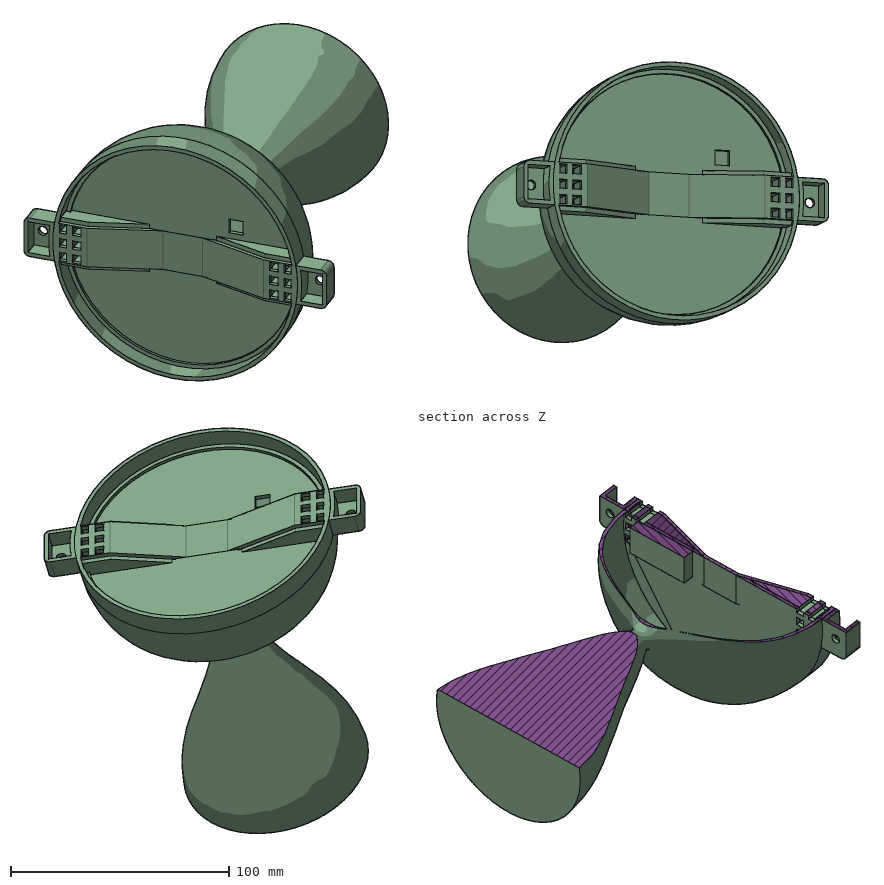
import cadquery as cq

RING_RADIUS = 60.0
RING_WALL = 2.0
RING_DEPTH = 10.0
RING_INNER_RADIUS = RING_RADIUS - RING_WALL
LIP_RADIUS = 56.0
LIP_THICKNESS = 1.5

DISC_THICKNESS = 2.0
DISC_FACE_Y = RING_DEPTH
DISC_BACK_Y = DISC_FACE_Y + DISC_THICKNESS
WINDOW_SIZE = 7.0
WINDOW_X = 26.0
WINDOW_Z = 18.7

STRAP_HALF_WIDTH = 10.0
STRAP_THICKNESS = 2.0
STRAP_BEND_X = 43.2
STRAP_MIDDLE_X = 9.7
STRAP_SLOPE = DISC_FACE_Y / (STRAP_BEND_X - STRAP_MIDDLE_X)

BRACKET_HALF_WIDTH = 12.2
BRACKET_TIP_X = STRAP_BEND_X - (DISC_FACE_Y - STRAP_THICKNESS) / STRAP_SLOPE

VENT_SIZE = 4.2
VENT_PITCH = 7.15
VENT_INNER_X = 48.3
VENT_OUTER_END_X = 56.8
VENT_OUTER_START_X = VENT_INNER_X + VENT_PITCH - VENT_SIZE / 2

LUG_END_X = 74.16
LUG_HALF_HEIGHT = STRAP_HALF_WIDTH
LUG_WALL = 2.0
LUG_FLOOR = 2.0
LUG_CORNER_RADIUS = 3.0
LUG_HOLE_X = 67.9
LUG_HOLE_DIAMETER = 4.5

TOTAL_LENGTH = 161.53
DOME_WALL = 2.0
NECK_RADIUS = 5.8
NECK_Y = 67.5
CUP_RADIUS = 43.3
DOME_CURVE = [(59.7, 16.0), (58.2, 24.0), (53.4, 35.0), (41.8, 46.4), (24.2, 56.0), (10.1, 63.1)]
CUP_CURVE = [(8.5, 75.5), (20.4, 101.2), (34.3, 129.8), (40.8, 146.4)]

BLOCK_START_X = BRACKET_TIP_X
BLOCK_END_X = 49.1
BLOCK_HALF_HEIGHT = 8.1
BLOCK_DEPTH = 6.0


def box(x_min, x_max, y_min, y_max, z_min, z_max):
    size = (x_max - x_min, y_max - y_min, z_max - z_min)
    return cq.Workplane("XY").box(*size, centered=False).translate((x_min, y_min, z_min))


def cylinder(radius, y_min, y_max):
    return cq.Workplane("XZ", origin=(0, y_min, 0)).circle(radius).extrude(y_min - y_max)


def mirror_x(body):
    return body.mirror("YZ")


def make_vents():
    """Cutter for the vent holes at both ends, through the strap, brackets and disc."""
    columns = [
        (VENT_INNER_X - VENT_SIZE / 2, VENT_INNER_X + VENT_SIZE / 2),
        (VENT_OUTER_START_X, VENT_OUTER_END_X),
    ]
    vents = cq.Workplane("XY")
    for x_min, x_max in columns:
        for row in (-1, 0, 1):
            z_min = row * VENT_PITCH - VENT_SIZE / 2
            vents = vents.add(box(x_min, x_max, 0, DISC_BACK_Y, z_min, z_min + VENT_SIZE))
    vents = vents.combine()
    return vents.union(mirror_x(vents))


def make_strap():
    """Bent band of constant thickness along Y, with its ends trimmed to the round of the ring."""
    front = [
        (-RING_RADIUS, 0),
        (-STRAP_BEND_X, 0),
        (-STRAP_MIDDLE_X, DISC_FACE_Y),
        (STRAP_MIDDLE_X, DISC_FACE_Y),
        (STRAP_BEND_X, 0),
        (RING_RADIUS, 0),
    ]
    back = [(x, y + STRAP_THICKNESS) for x, y in reversed(front)]
    strap = cq.Workplane("XY").polyline(front + back).close().extrude(STRAP_HALF_WIDTH, both=True)
    return strap.intersect(cylinder(RING_RADIUS, 0, DISC_BACK_Y))


def make_ring(strap, vents):
    ring = cylinder(RING_RADIUS, 0, RING_DEPTH)
    ring = ring.cut(cylinder(RING_INNER_RADIUS, 0, RING_DEPTH - LIP_THICKNESS))
    ring = ring.cut(cylinder(LIP_RADIUS, 0, RING_DEPTH))
    return ring.union(strap).cut(vents)


def make_disc(strap, vents):
    disc = cylinder(RING_INNER_RADIUS, DISC_FACE_Y, DISC_BACK_Y)
    half = WINDOW_SIZE / 2
    window = box(-half, half, DISC_FACE_Y, DISC_BACK_Y, -half, half)
    window = window.translate((WINDOW_X, 0, WINDOW_Z))
    return disc.cut(window).cut(strap).cut(vents)


def make_bracket(ring, vents):
    """Wedge on the +X side, reaching from the back of the strap to the disc and wider than the strap."""
    side = [
        (BRACKET_TIP_X, DISC_FACE_Y),
        (STRAP_BEND_X, STRAP_THICKNESS),
        (RING_RADIUS, STRAP_THICKNESS),
        (RING_RADIUS, DISC_FACE_Y),
    ]
    wedge = cq.Workplane("XY").polyline(side).close().extrude(BRACKET_HALF_WIDTH, both=True)
    wedge = wedge.intersect(cylinder(RING_INNER_RADIUS, 0, DISC_FACE_Y))
    return wedge.cut(ring).cut(vents)


def make_lug():
    """Box on the +X side, open to the front, with its inner wall curved along the ring."""
    lug = box(0, LUG_END_X, 0, RING_DEPTH, -LUG_HALF_HEIGHT, LUG_HALF_HEIGHT)
    lug = lug.edges("|Y and >X").fillet(LUG_CORNER_RADIUS)
    lug = lug.cut(cylinder(RING_RADIUS, 0, RING_DEPTH))
    pocket_half = LUG_HALF_HEIGHT - LUG_WALL
    pocket_floor_y = RING_DEPTH - LUG_FLOOR
    pocket = box(0, LUG_END_X - LUG_WALL, 0, pocket_floor_y, -pocket_half, pocket_half)
    pocket = pocket.cut(cylinder(RING_RADIUS + LUG_WALL, 0, pocket_floor_y))
    hole = cylinder(LUG_HOLE_DIAMETER / 2, 0, RING_DEPTH).translate((LUG_HOLE_X, 0, 0))
    return lug.cut(pocket).cut(hole)


def make_hourglass():
    outside = (
        cq.Workplane("XY")
        .moveTo(0, RING_DEPTH)
        .lineTo(RING_RADIUS, RING_DEPTH)
        .spline(
            DOME_CURVE + [(NECK_RADIUS, NECK_Y)] + CUP_CURVE + [(CUP_RADIUS, TOTAL_LENGTH)],
            includeCurrent=True,
        )
        .lineTo(0, TOTAL_LENGTH)
        .close()
        .revolve(360, (0, 0, 0), (0, 1, 0))
    )
    bore = cylinder(RING_INNER_RADIUS, RING_DEPTH, DISC_BACK_Y)
    cavity_curve = [(radius - DOME_WALL, y) for radius, y in DOME_CURVE]
    cavity = (
        cq.Workplane("XY")
        .moveTo(0, RING_DEPTH)
        .lineTo(RING_INNER_RADIUS, RING_DEPTH)
        .spline(cavity_curve, includeCurrent=True)
        .lineTo(0, cavity_curve[-1][1])
        .close()
        .revolve(360, (0, 0, 0), (0, 1, 0))
    )
    return outside.cut(cavity).cut(bore)


def make_block():
    return box(
        BLOCK_START_X, BLOCK_END_X,
        DISC_BACK_Y, DISC_BACK_Y + BLOCK_DEPTH,
        -BLOCK_HALF_HEIGHT, BLOCK_HALF_HEIGHT,
    )


strap = make_strap()
vents = make_vents()
ring = make_ring(strap, vents)
disc = make_disc(strap, vents)
bracket = make_bracket(ring, vents)
lug = make_lug()
hourglass = make_hourglass()
block = make_block()
bodies = [ring, disc, bracket, mirror_x(bracket), lug, mirror_x(lug), hourglass, block]
result = cq.Compound.makeCompound([body.val() for body in bodies])